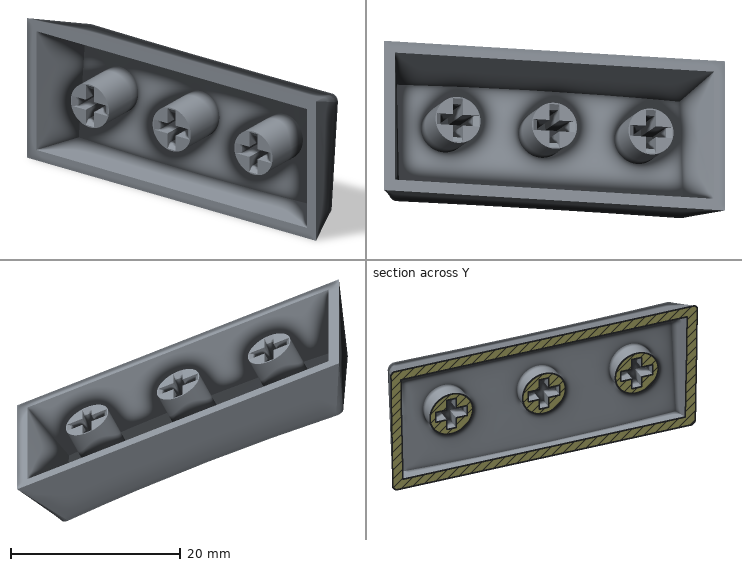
import cadquery as cq
import math

LENGTH = 42.0
HEIGHT = 18.0
DEPTH_TOP = 8.2
DEPTH_BOTTOM = 6.75
SIDE_INSET = 2.65
TOP_INSET = 2.8
BOTTOM_INSET = 0.2
CORNER_RADIUS = 0.9
DISH_SAG = 0.6

WALL = 1.35
CROWN_WALL = 1.2

STEM_COUNT = 3
STEM_PITCH = 11.9
STEM_DIAMETER = 5.55
CROSS_SPAN = 4.0
CROSS_MOUTH_SPAN = 5.15
LEAD_IN_DEPTH = 0.5
UPRIGHT_SLOT_WIDTH = 1.18
LEVEL_SLOT_WIDTH = 1.3

MID_Z = HEIGHT / 2
CROWN_HALF_LENGTH = LENGTH / 2 - SIDE_INSET
CROWN_TOP_Z = HEIGHT - TOP_INSET
CROWN_SLOPE = (DEPTH_TOP - DEPTH_BOTTOM) / (CROWN_TOP_Z - BOTTOM_INSET)
SLOPE_LENGTH = math.hypot(DEPTH_TOP - DEPTH_BOTTOM, CROWN_TOP_Z - BOTTOM_INSET)
DISH_RADIUS = (CROWN_HALF_LENGTH**2 + DISH_SAG**2) / (2 * DISH_SAG)


def crown_depth(z):
    """Depth of the crown's flat reference plane at height z."""
    return DEPTH_TOP + CROWN_SLOPE * (z - CROWN_TOP_Z)


def rectangle_corners(half_length, low, high, depth_at):
    """Corners of an upright rectangle whose Y position depends on height."""
    flat = [(-half_length, low), (half_length, low), (half_length, high), (-half_length, high)]
    return [cq.Vector(x, depth_at(z), z) for x, z in flat]


def tapered_block(margin, radius):
    """Block from the mouth to the crown plane, walls moved in by margin.

    The mouth outline is sharp. The crown outline has corners of the given radius;
    a radius of zero keeps them sharp.
    """
    mouth = rectangle_corners(LENGTH / 2 - margin, margin, HEIGHT - margin, lambda z: 0)
    crown = rectangle_corners(
        CROWN_HALF_LENGTH - margin, BOTTOM_INSET + margin, CROWN_TOP_Z - margin, crown_depth
    )
    faces = [cq.Face.makeFromWires(cq.Wire.makePolygon(mouth, close=True))]
    crown_edges = []
    for i, corner in enumerate(crown):
        following = crown[(i + 1) % len(crown)]
        forward = (following - corner).normalized()
        backward = (crown[i - 1] - corner).normalized()
        side_start = corner + forward * radius
        side = cq.Edge.makeLine(side_start, following - forward * radius)
        if radius > 0:
            centre = corner + (forward + backward) * radius
            arc_middle = centre + (corner - centre).normalized() * radius
            arc_start = corner + backward * radius
            arc = cq.Edge.makeThreePointArc(arc_start, arc_middle, side_start)
            faces.append(corner_cone(mouth[i], arc, arc_start, side_start))
            crown_edges.append(arc)
        crown_edges.append(side)
        mouth_side = cq.Edge.makeLine(mouth[i], mouth[(i + 1) % len(mouth)])
        faces.append(cq.Face.makeRuledSurface(mouth_side, side))
    faces.append(cq.Face.makeFromWires(cq.Wire.assembleEdges(crown_edges)))
    return cq.Workplane(cq.Solid.makeSolid(cq.Shell.makeShell(faces)))


def corner_cone(apex, arc, arc_start, arc_end):
    """Conical face joining a sharp mouth corner to a rounded crown corner."""
    rim = [cq.Edge.makeLine(apex, arc_start), arc, cq.Edge.makeLine(arc_end, apex)]
    return cq.Face.makeNSidedSurface(rim, [])


def dish_cylinder(radius):
    """Large cylinder lying behind the crown and parallel to its slope."""
    slope = cq.Vector(0, DEPTH_TOP - DEPTH_BOTTOM, CROWN_TOP_Z - BOTTOM_INSET).normalized()
    outward = cq.Vector(0, slope.z, -slope.y)
    lower_edge = cq.Vector(0, DEPTH_BOTTOM, BOTTOM_INSET)
    axis_start = lower_edge + outward * (DISH_RADIUS - DISH_SAG) - slope * SLOPE_LENGTH
    return cq.Workplane(cq.Solid.makeCylinder(radius, 3 * SLOPE_LENGTH, axis_start, slope))


def slot(width):
    """Slot along X, open at Y = 0, with a sloped lead-in at each end."""
    outer, inner = CROSS_MOUTH_SPAN / 2, CROSS_SPAN / 2
    outline = [
        (-outer, 0), (outer, 0), (inner, LEAD_IN_DEPTH), (inner, DEPTH_TOP),
        (-inner, DEPTH_TOP), (-inner, LEAD_IN_DEPTH),
    ]
    return cq.Workplane("XY").polyline(outline).close().extrude(width / 2, both=True)


def stem(x):
    """Round post with a cross-shaped socket, running from Y = 0 along +Y."""
    post = cq.Workplane("XZ").circle(STEM_DIAMETER / 2).extrude(-DEPTH_TOP)
    upright_slot = slot(UPRIGHT_SLOT_WIDTH).rotate((0, 0, 0), (0, 1, 0), 90)
    return post.cut(slot(LEVEL_SLOT_WIDTH)).cut(upright_slot).translate((x, 0, MID_Z))


body = tapered_block(0, CORNER_RADIUS).cut(dish_cylinder(DISH_RADIUS))
cavity = tapered_block(WALL, 0).cut(dish_cylinder(DISH_RADIUS + CROWN_WALL))

for index in range(STEM_COUNT):
    cavity = cavity.cut(stem((index - (STEM_COUNT - 1) / 2) * STEM_PITCH))

result = body.cut(cavity).solids()